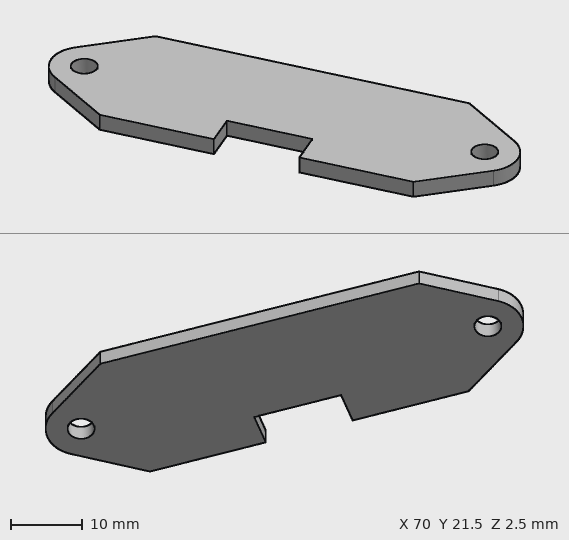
import cadquery as cq
import math

length = 69.95
width = 21.5
thickness = 2.5
straight_edge_length = 47.0

hole_spacing = 60.0
hole_diameter = 3.8

notch_width = 12.8
notch_depth = 5.05

ear_x = hole_spacing / 2
ear_radius = length / 2 - ear_x
corner_x = straight_edge_length / 2
corner_y = width / 2

corner_dx = corner_x - ear_x
corner_distance = math.hypot(corner_dx, corner_y)
tangent_angle = math.atan2(corner_y, corner_dx) - math.acos(ear_radius / corner_distance)
tangent_x = ear_x + ear_radius * math.cos(tangent_angle)
tangent_y = ear_radius * math.sin(tangent_angle)

plate = (
    cq.Workplane("XY")
    .moveTo(-corner_x, corner_y)
    .lineTo(corner_x, corner_y)
    .lineTo(tangent_x, tangent_y)
    .threePointArc((length / 2, 0), (tangent_x, -tangent_y))
    .lineTo(corner_x, -corner_y)
    .lineTo(notch_width / 2, -corner_y)
    .lineTo(notch_width / 2, -corner_y + notch_depth)
    .lineTo(-notch_width / 2, -corner_y + notch_depth)
    .lineTo(-notch_width / 2, -corner_y)
    .lineTo(-corner_x, -corner_y)
    .lineTo(-tangent_x, -tangent_y)
    .threePointArc((-length / 2, 0), (-tangent_x, tangent_y))
    .close()
    .extrude(thickness)
)

holes = (
    cq.Workplane("XY")
    .pushPoints([(-ear_x, 0), (ear_x, 0)])
    .circle(hole_diameter / 2)
    .extrude(thickness)
)

result = plate.cut(holes)